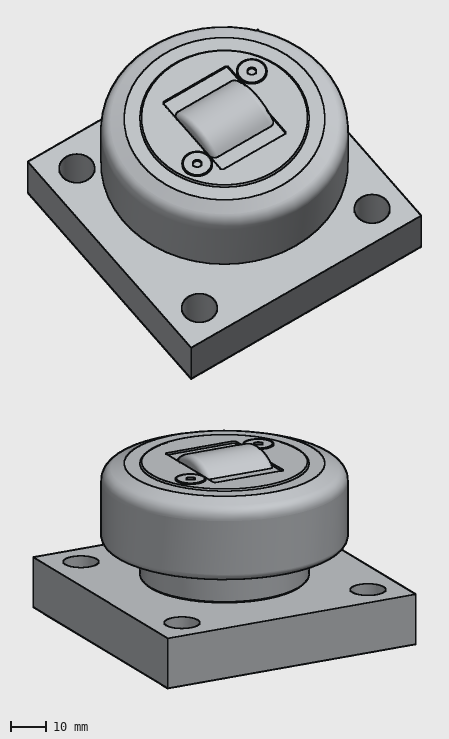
import cadquery as cq
import math

plate_side = 80.0
plate_thickness = 15.0
mount_hole_diameter = 10.1
mount_hole_spacing = 60.0

pin_radius = 24.0
pin_chamfer = 0.5
collar_top = 25.1
cap_top = 49.2

roller_radius = 35.0
roller_bottom = 25.4
roller_top = 48.7
roller_bottom_fillet = 2.0
crown_start = 43.5
crown_fillet = 4.0
crown_slope = math.radians(20)

overall_height = 52.5
pocket_length = 29.1
pocket_width = 22.5
pocket_depth = 0.6
pocket_corner_radius = 0.6
side_roller_radius = 14.0
side_roller_fillet = 2.0

screw_x = 8.7
screw_y = 15.7
screw_places = [(-screw_x, screw_y), (screw_x, -screw_y)]
screw_radius = 4.3
screw_chamfer_width = 0.3
screw_rise = 0.2
socket_diameter = 2.6
socket_depth = 0.6


def chamfered_disc(radius, bottom, top, chamfer, edges):
    disc = cq.Workplane("XY").workplane(offset=bottom).circle(radius).extrude(top - bottom)
    return disc.edges(edges).chamfer(chamfer)


def make_plate():
    plate = cq.Workplane("XY").box(plate_side, plate_side, plate_thickness, centered=(True, True, False))
    return (
        plate.faces(">Z").workplane()
        .rect(mount_hole_spacing, mount_hole_spacing, forConstruction=True)
        .vertices().hole(mount_hole_diameter)
    )


def make_main_roller():
    def crown_point(angle):
        return (
            roller_radius - crown_fillet * (1 - math.cos(angle)),
            crown_start + crown_fillet * math.sin(angle),
        )

    arc_angle = math.pi / 2 - crown_slope
    arc_middle = crown_point(arc_angle / 2)
    arc_end = crown_point(arc_angle)
    flat_radius = arc_end[0] - (roller_top - arc_end[1]) / math.tan(crown_slope)
    profile = (
        cq.Workplane("XZ")
        .moveTo(0, roller_bottom)
        .lineTo(roller_radius - roller_bottom_fillet, roller_bottom)
        .radiusArc((roller_radius, roller_bottom + roller_bottom_fillet), -roller_bottom_fillet)
        .lineTo(roller_radius, crown_start)
        .threePointArc(arc_middle, arc_end)
        .lineTo(flat_radius, roller_top)
        .lineTo(0, roller_top)
        .close()
    )
    return profile.revolve(360, (0, 0, 0), (0, 1, 0))


def make_pin():
    collar = chamfered_disc(pin_radius, plate_thickness, collar_top, pin_chamfer, "%CIRCLE")
    cap = chamfered_disc(pin_radius, collar_top, cap_top, pin_chamfer, ">Z")
    return collar.union(cap)


def make_pocket():
    return (
        cq.Workplane("XY").workplane(offset=cap_top - pocket_depth)
        .rect(pocket_length, pocket_width).extrude(overall_height - cap_top)
        .edges("|Z").fillet(pocket_corner_radius)
    )


def make_side_roller():
    return (
        cq.Workplane("ZX").center(overall_height - side_roller_radius, 0)
        .circle(side_roller_radius).extrude(pocket_width / 2, both=True)
        .edges("%CIRCLE").fillet(side_roller_fillet)
    )


def make_screw_heads():
    return (
        cq.Workplane("XY").workplane(offset=cap_top)
        .pushPoints(screw_places).circle(screw_radius).extrude(screw_rise)
        .faces(">Z").edges().chamfer(screw_rise / 2, screw_chamfer_width)
    )


def make_screw_sockets():
    return (
        cq.Workplane("XY").workplane(offset=cap_top + screw_rise)
        .pushPoints(screw_places).circle(socket_diameter / 2).extrude(-socket_depth)
    )


result = (
    make_plate()
    .union(make_main_roller())
    .union(make_pin())
    .cut(make_pocket())
    .union(make_side_roller())
    .union(make_screw_heads())
    .cut(make_screw_sockets())
)